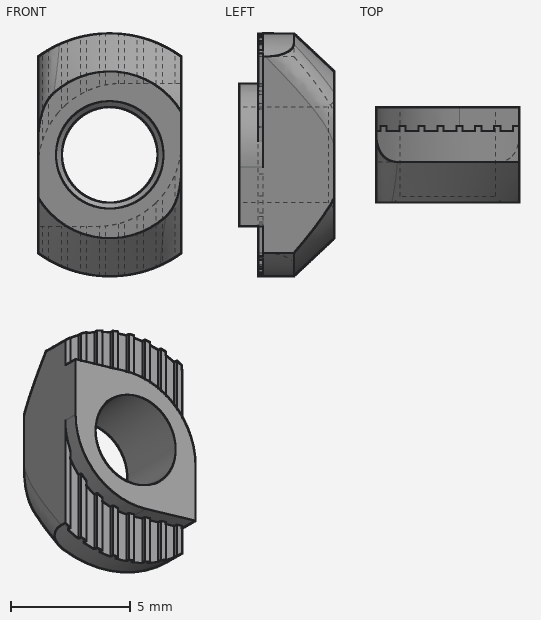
import cadquery as cq

length = 10.2
width = 6.0
thickness = 4.0

outer_radius = length / 2
front_radius = 3.5
cone_depth = 1.7
head_depth = 3.0
blend_radius = 1.28
blend_extension = 1.53

tooth_height = 0.2
tooth_width = 0.25
tooth_pitch = 0.8
tooth_count = 8

boss_corner_radius = 3.5
bore_radius = 2.0
bore_chamfer = 0.25

half_width = width / 2


def back_plane(depth):
    """Sketch plane at a given depth; local x is X and extrusion runs toward +Y."""
    return cq.Workplane(cq.Plane(origin=(0, depth, 0), xDir=(1, 0, 0), normal=(0, 1, 0)))


def make_disc(front_extension):
    """Flat-sided disc whose cone is prolonged forward of the front face."""
    tip_radius = front_radius - front_extension * (outer_radius - front_radius) / cone_depth
    profile = [
        (0, -front_extension),
        (tip_radius, -front_extension),
        (outer_radius, cone_depth),
        (outer_radius, head_depth),
        (0, head_depth),
    ]
    disc = cq.Workplane("XY").polyline(profile).close().revolve(360, (0, 0), (0, 1))
    flats = back_plane(-front_extension).rect(width, length).extrude(front_extension + head_depth)
    return disc.intersect(flats)


def make_head():
    """Head with the cone-to-flat edge blended at two diagonally opposite corners."""
    prolonged = make_disc(blend_extension)
    blended = prolonged.faces("<X").edges("%HYPERBOLA").fillet(blend_radius)
    upper_left = back_plane(0).rect(half_width, outer_radius).extrude(head_depth)
    upper_left = upper_left.translate((-half_width / 2, 0, outer_radius / 2))
    blend_waste = prolonged.intersect(upper_left).cut(blended)
    opposite_waste = blend_waste.rotate((0, 0, 0), (0, 1, 0), 180)
    return make_disc(0).cut(blend_waste).cut(opposite_waste)


def make_teeth():
    """Straight ribs along Z, spaced from the right-hand flat and trimmed to the disc."""
    teeth = cq.Workplane("XY")
    for index in range(tooth_count):
        center_x = half_width - tooth_width / 2 - index * tooth_pitch
        tooth = back_plane(head_depth).center(center_x, 0).rect(tooth_width, length).extrude(tooth_height)
        teeth = teeth.union(tooth)
    disc = back_plane(head_depth).circle(outer_radius).extrude(tooth_height)
    return teeth.intersect(disc)


def make_boss():
    height = thickness - head_depth
    square = back_plane(head_depth).rect(width, width).extrude(height)
    rounded_corners = square.faces("<X").edges(">Z").add(square.faces(">X").edges("<Z"))
    return rounded_corners.fillet(boss_corner_radius)


def make_bore():
    profile = [
        (0, 0),
        (bore_radius + bore_chamfer, 0),
        (bore_radius, bore_chamfer),
        (bore_radius, thickness),
        (0, thickness),
    ]
    return cq.Workplane("XY").polyline(profile).close().revolve(360, (0, 0), (0, 1))


result = make_head().union(make_teeth()).union(make_boss()).cut(make_bore())